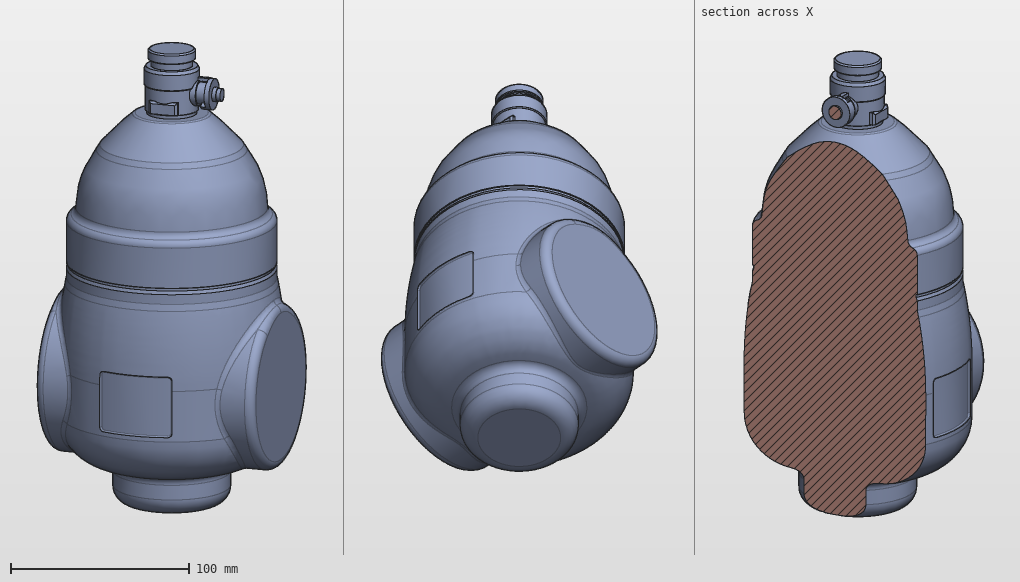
import cadquery as cq
import math

total_height = 263.79
foot_radius = 33.2
foot_edge_radius = 9.9
foot_blend_radius = 5.2
body_radius = 64.25
belly_radius = 28.5
wall_bottom = 52.0
wall_top = 81.5
shoulder_arc_radius = 247.0
rim_bottom = 130.8
rim_radius = 59.25
rim_blend_height = 3.9
rim_chamfer_height = 2.0
joint_radius = 58.6
joint_bottom = 138.4
cover_bottom = 140.0

cover_radius = rim_radius
cover_skirt_top = 163.5
dome_bottom = 171.4
dome_radius = 54.0
dome_mid = (51.2, 188.0)
dome_top = (42.4, 204.8)
crown_start = (40.4, 208.0)
crown_mid = (31.4, 217.4)
crown_radius = 21.4
crown_top = 226.4
crown_edge_radius = 2.4

socket_end = 65.0
socket_radius = 47.0
socket_height = 72.3
socket_edge_radius = 5.0
socket_blend_radius = 4.0

panel_width = 43.0
panel_bottom = 54.5
panel_top = 89.6
panel_corner_radius = 2.5
panel_floor_radius = 62.9
panel_floor_blend = 0.7

stem_radius = 14.2
barrel_bottom = 228.5
barrel_radius = 15.0
collar_bottom = 243.3
collar_top = 254.0
collar_radius = 15.6
collar_chamfer_width = 1.0
collar_chamfer_height = 1.9
collar_lower_chamfer = 0.6
neck_radius = 11.8
cap_bottom = 257.8
cap_radius = 13.4
cap_chamfer = 0.9
cap_lower_chamfer = 0.5

flat_width = 17.0
flat_reach = 15.4
flat_bottom = 228.9
flat_top = 236.2
flat_chamfer = 1.3

outlet_height = 239.3
outlet_flange_radius = 7.4
outlet_flange_end = 16.6
outlet_pipe_radius = 6.3
disc_radius = 8.9
disc_start = 22.4
disc_end = 25.2
half_disc_start = 19.3
half_disc_tilt = 45.0
nut_radius = 4.1
nut_end = 27.6
tip_radius = 3.6
tip_end = 30.0
bar_width = 2.8
bar_thickness = 2.0
bar_offset = 1.1

overlap = 1.0


def arc_middle(start, end, center, radius):
    """Middle of the shorter arc from start to end about the center."""
    dx = (start[0] + end[0]) / 2 - center[0]
    dz = (start[1] + end[1]) / 2 - center[1]
    scale = radius / math.hypot(dx, dz)
    return (center[0] + dx * scale, center[1] + dz * scale)


def make_vessel_body():
    """Foot, rounded belly and tapering upper body up to the cover joint."""
    belly_center = (body_radius - belly_radius, wall_bottom)
    blend_center_r = foot_radius + foot_blend_radius
    center_gap = belly_radius + foot_blend_radius
    blend_center_z = wall_bottom - math.sqrt(center_gap**2 - (blend_center_r - belly_center[0])**2)
    blend_center = (blend_center_r, blend_center_z)
    blend_start = (foot_radius, blend_center_z)
    share = belly_radius / center_gap
    blend_end = (
        belly_center[0] + (blend_center[0] - belly_center[0]) * share,
        belly_center[1] + (blend_center[1] - belly_center[1]) * share,
    )
    belly_end = (body_radius, wall_bottom)

    foot_corner = (foot_radius - foot_edge_radius, foot_edge_radius)
    foot_flat_end = (foot_corner[0], 0)
    foot_side_start = (foot_radius, foot_edge_radius)
    foot_edge_mid = arc_middle(foot_flat_end, foot_side_start, foot_corner, foot_edge_radius)

    shoulder_top = rim_bottom - rim_blend_height
    rise = shoulder_top - wall_top
    shoulder_center_r = body_radius - shoulder_arc_radius
    shoulder_end = (shoulder_center_r + math.sqrt(shoulder_arc_radius**2 - rise**2), shoulder_top)
    shoulder_mid = arc_middle(
        (body_radius, wall_top), shoulder_end, (shoulder_center_r, wall_top), shoulder_arc_radius
    )

    profile = (
        cq.Workplane("XZ")
        .moveTo(0, 0)
        .lineTo(*foot_flat_end)
        .threePointArc(foot_edge_mid, foot_side_start)
        .lineTo(*blend_start)
        .threePointArc(arc_middle(blend_start, blend_end, blend_center, foot_blend_radius), blend_end)
        .threePointArc(arc_middle(blend_end, belly_end, belly_center, belly_radius), belly_end)
        .lineTo(body_radius, wall_top)
        .threePointArc(shoulder_mid, shoulder_end)
        .tangentArcPoint((rim_radius, rim_bottom), relative=False)
        .lineTo(rim_radius, joint_bottom - rim_chamfer_height)
        .lineTo(joint_radius, joint_bottom)
        .lineTo(joint_radius, cover_bottom)
        .lineTo(0, cover_bottom)
        .close()
    )
    return profile.revolve(360, (0, 0, 0), (0, 1, 0))


def make_cover():
    """Cylindrical skirt, S-shaped step, dome and conical crown."""
    step_mid = ((cover_radius + dome_radius) / 2, (cover_skirt_top + dome_bottom) / 2)
    half_width = (cover_radius - dome_radius) / 2
    half_height = (dome_bottom - cover_skirt_top) / 2
    step_arc_radius = (half_width**2 + half_height**2) / (2 * half_width)
    outer_center = (cover_radius - step_arc_radius, cover_skirt_top)
    inner_center = (dome_radius + step_arc_radius, dome_bottom)
    skirt_end = (cover_radius, cover_skirt_top)
    dome_start = (dome_radius, dome_bottom)

    profile = (
        cq.Workplane("XZ")
        .moveTo(0, cover_bottom)
        .lineTo(cover_radius, cover_bottom)
        .lineTo(*skirt_end)
        .threePointArc(arc_middle(skirt_end, step_mid, outer_center, step_arc_radius), step_mid)
        .threePointArc(arc_middle(step_mid, dome_start, inner_center, step_arc_radius), dome_start)
        .threePointArc(dome_mid, dome_top)
        .lineTo(*crown_start)
        .threePointArc(crown_mid, (crown_radius, crown_top))
        .lineTo(0, crown_top)
        .close()
    )
    cover = profile.revolve(360, (0, 0, 0), (0, 1, 0))
    return cover.faces(">Z").edges().fillet(crown_edge_radius)


def add_sockets(body):
    """Add the two round side sockets and blend them into the body."""
    sockets = (
        cq.Workplane("YZ", origin=(-socket_end, 0, socket_height))
        .circle(socket_radius)
        .extrude(2 * socket_end)
    )
    body = body.union(sockets)
    inner_reach = socket_end - overlap
    between_ends = cq.selectors.BoxSelector(
        (-inner_reach, -body_radius, 0),
        (inner_reach, body_radius, rim_bottom - rim_blend_height - overlap),
        boundingbox=True,
    )
    joint_edges = [
        edge for edge in body.edges(between_ends).vals()
        if edge.geomType() not in ("CIRCLE", "LINE") and abs(edge.Center().x) > foot_radius
    ]
    body = body.newObject(joint_edges).fillet(socket_blend_radius)
    return body.faces("<X or >X").edges().fillet(socket_edge_radius)


def cut_label_panels(body):
    """Sink a rounded rectangle with a cylindrical, edge-rounded floor into both sides."""
    panel_height = panel_top - panel_bottom
    blocks = (
        cq.Workplane("XZ", origin=(0, body_radius + overlap, (panel_top + panel_bottom) / 2))
        .rect(panel_width, panel_height)
        .extrude(2 * (body_radius + overlap))
        .edges("|Y")
        .fillet(panel_corner_radius)
    )
    core = cq.Workplane("XY").circle(panel_floor_radius).extrude(cover_bottom)
    panels = blocks.cut(core)
    half_panel_area = panel_width * panel_height / 2
    inner_faces = [face for face in panels.faces("%CYLINDER").vals() if face.Area() > half_panel_area]
    floor_edges = [edge for face in inner_faces for edge in face.Edges()]
    return body.cut(panels.newObject(floor_edges).fillet(panel_floor_blend))


def make_valve():
    """Turned vent valve with wrench pads on its -Y and +Y sides."""
    profile = (
        cq.Workplane("XZ")
        .moveTo(0, crown_top - overlap)
        .lineTo(stem_radius, crown_top - overlap)
        .lineTo(stem_radius, barrel_bottom)
        .lineTo(barrel_radius, barrel_bottom)
        .lineTo(barrel_radius, collar_bottom - collar_lower_chamfer)
        .lineTo(collar_radius, collar_bottom)
        .lineTo(collar_radius, collar_top - collar_chamfer_height)
        .lineTo(collar_radius - collar_chamfer_width, collar_top)
        .lineTo(neck_radius, collar_top)
        .lineTo(neck_radius, cap_bottom)
        .lineTo(cap_radius - cap_lower_chamfer, cap_bottom)
        .lineTo(cap_radius, cap_bottom + cap_lower_chamfer)
        .lineTo(cap_radius, total_height - cap_chamfer)
        .lineTo(cap_radius - cap_chamfer, total_height)
        .lineTo(0, total_height)
        .close()
    )
    valve = profile.revolve(360, (0, 0, 0), (0, 1, 0))
    pads = (
        cq.Workplane("XY", origin=(0, 0, flat_bottom))
        .rect(flat_width, 2 * flat_reach)
        .extrude(flat_top - flat_bottom)
        .faces("<Y or >Y")
        .edges("|Z or >Z")
        .chamfer(flat_chamfer)
    )
    return valve.union(pads)


def outlet_cylinder(radius, start, end):
    """Cylinder on the outlet axis between two X positions."""
    return cq.Workplane("YZ", origin=(start, 0, outlet_height)).circle(radius).extrude(end - start)


def make_outlet():
    """Flange, pipe, stepped disc, nut, tip and holding bar of the outlet."""
    outlet = outlet_cylinder(outlet_flange_radius, 0, outlet_flange_end)
    outlet = outlet.union(outlet_cylinder(outlet_pipe_radius, 0, disc_start))
    outlet = outlet.union(outlet_cylinder(disc_radius, disc_start, disc_end))
    outlet = outlet.union(outlet_cylinder(nut_radius, disc_start, nut_end))
    outlet = outlet.union(outlet_cylinder(tip_radius, disc_start, tip_end))

    disc_width = 2 * disc_radius
    half_block = (
        cq.Workplane("YZ", origin=(half_disc_start, 0, outlet_height))
        .center(0, -disc_radius)
        .rect(disc_width, disc_width)
        .extrude(disc_start - half_disc_start)
        .rotate((0, 0, outlet_height), (1, 0, outlet_height), half_disc_tilt)
    )
    half_disc = outlet_cylinder(disc_radius, half_disc_start, disc_start).intersect(half_block)

    bar_top = outlet_height + disc_radius
    bar = (
        cq.Workplane("XY", origin=(disc_start / 2, bar_offset, bar_top - bar_thickness))
        .rect(disc_start, bar_width)
        .extrude(bar_thickness)
    )
    return outlet.union(half_disc).union(bar)


body = cut_label_panels(add_sockets(make_vessel_body()))
result = body.union(make_cover()).union(make_valve()).union(make_outlet())